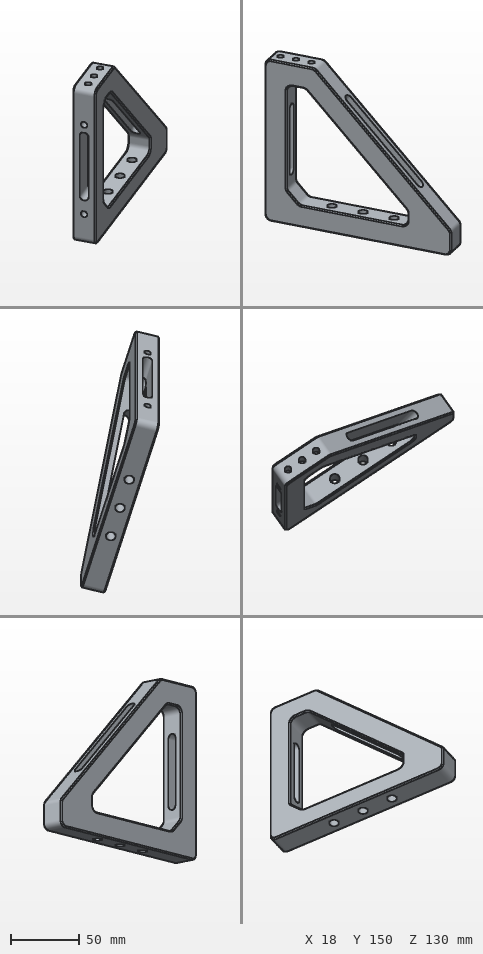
import cadquery as cq
import math

thickness = 18.0
length = 150.0
height = 130.0
top_width = 40.0
nose_height = height - (length - top_width)
corner_radius = 5.0
edge_chamfer = 1.0

leg_width = 17.5
slant_leg_width = 18.0
window_nose = 115.0
window_height = 112.0
window_corner_cut = 10.5
window_radius = 5.0

slot_width = 7.0
front_slot_length = 57.0
front_slot_z = height / 2
slant_slot_length = 87.0
slant_slot_y = 92.1

base_hole_diameter = slot_width
base_hole_pitch = 25.0
base_hole_y = length / 2

tapped_diameter = 5.0
tapped_depth = 12.0
drill_point_angle = 118.0
front_tapped_pitch = 75.0
front_tapped_z = 62.5
top_tapped_pitch = 12.5
top_tapped_y = 21.0

outline = [
    (0, 0),
    (length, 0),
    (length, nose_height),
    (top_width, height),
    (0, height),
]


def filleted_prism(points, radius):
    """Extrude a YZ outline across the thickness and round its corners."""
    prism = cq.Workplane("YZ").polyline(points).close().extrude(thickness / 2, both=True)
    return prism.edges("|X").fillet(radius)


def window_points():
    """Window outline: slanted side parallel to the outer slant, lower front corner cut at 45 degrees."""
    inner_sum = top_width + height - slant_leg_width * math.sqrt(2)
    return [
        (leg_width + window_corner_cut, leg_width),
        (window_nose, leg_width),
        (window_nose, inner_sum - window_nose),
        (inner_sum - window_height, window_height),
        (leg_width, window_height),
        (leg_width, leg_width + window_corner_cut),
    ]


def tapped_hole(position, direction):
    """Blind hole with a conical bottom, entering the part at position."""
    radius = tapped_diameter / 2
    point_length = radius / math.tan(math.radians(drill_point_angle / 2))
    entry = cq.Vector(*position)
    axis = cq.Vector(*direction)
    bore = cq.Solid.makeCylinder(radius, tapped_depth, entry, axis)
    tip = cq.Solid.makeCone(radius, 0, point_length, entry + axis * tapped_depth, axis)
    return bore.fuse(tip)


def slot_cutter(centre, long_axis, normal, slot_length, depth):
    """Round-ended slot, starting at centre and cut to depth against the face normal."""
    plane = cq.Plane(origin=centre, xDir=long_axis, normal=normal)
    return cq.Workplane(plane).slot2D(slot_length, slot_width).extrude(-depth)


frame = filleted_prism(outline, corner_radius)
frame = frame.cut(filleted_prism(window_points(), window_radius))
frame = frame.faces("<X or >X").chamfer(edge_chamfer)

frame = frame.cut(slot_cutter((0, 0, front_slot_z), (0, 0, 1), (0, -1, 0), front_slot_length, leg_width))

slant_slot_z = top_width + height - slant_slot_y
slant_slot_centre = (0, slant_slot_y, slant_slot_z)
frame = frame.cut(
    slot_cutter(slant_slot_centre, (0, 1, -1), (0, 1, 1), slant_slot_length, slant_leg_width)
)

for step in (-1, 0, 1):
    hole_base = cq.Vector(0, base_hole_y + step * base_hole_pitch, 0)
    frame = frame.cut(cq.Solid.makeCylinder(base_hole_diameter / 2, leg_width, hole_base))

for side in (-1, 1):
    frame = frame.cut(tapped_hole((0, 0, front_tapped_z + side * front_tapped_pitch / 2), (0, 1, 0)))

for step in (-1, 0, 1):
    frame = frame.cut(tapped_hole((0, top_tapped_y + step * top_tapped_pitch, height), (0, 0, -1)))

result = frame